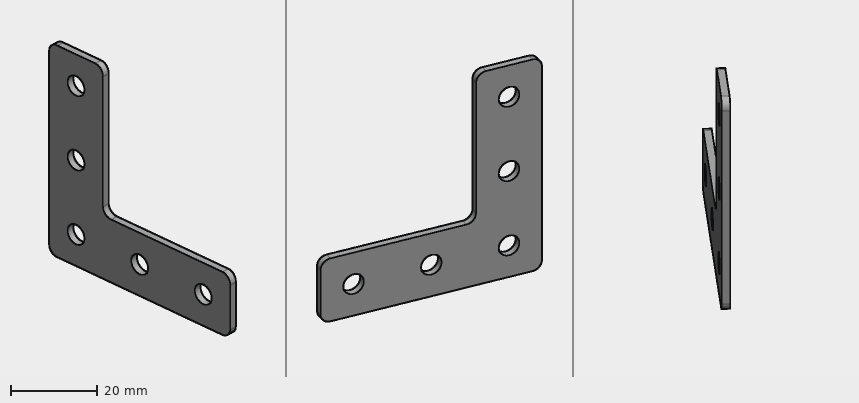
import cadquery as cq

side_length = 57.0
thickness = 2.0
leg_width = 17.0
corner_radius = 2.5
hole_diameter = 5.25
hole_pitch = 20.0
holes_per_leg = 3

hole_inset = leg_width / 2


def make_plate():
    """L-shaped plate in the XZ plane, outer corner at the origin, thickness along +Y."""
    outline = [
        (0, 0),
        (side_length, 0),
        (side_length, leg_width),
        (leg_width, leg_width),
        (leg_width, side_length),
        (0, side_length),
    ]
    plate = cq.Workplane("XZ").polyline(outline).close().extrude(-thickness)
    return plate.edges("|Y").fillet(corner_radius)


def hole_centers():
    """Evenly spaced (X, Z) hole centers along both legs, sharing the corner hole."""
    steps = [hole_inset + i * hole_pitch for i in range(holes_per_leg)]
    along_x = [(step, hole_inset) for step in steps]
    along_z = [(hole_inset, step) for step in steps[1:]]
    return along_x + along_z


def make_holes():
    """Cylinders that pass through the full plate thickness."""
    return cq.Workplane("XZ").pushPoints(hole_centers()).circle(hole_diameter / 2).extrude(-thickness)


result = make_plate().cut(make_holes())